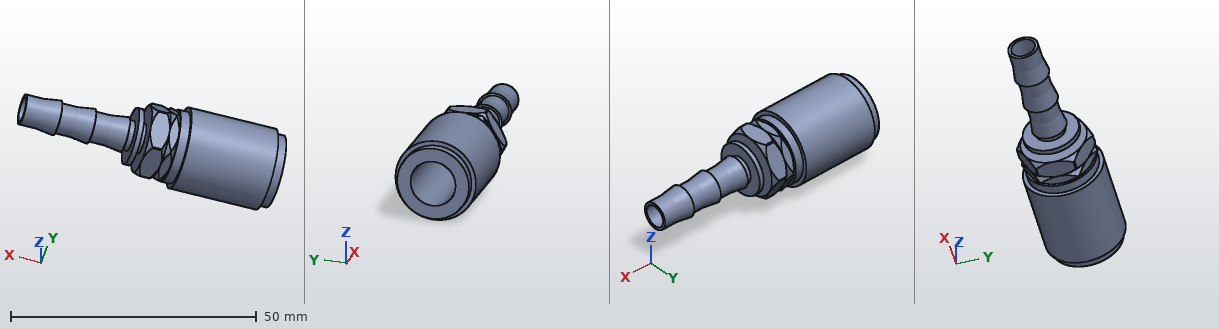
import cadquery as cq
import math

total_length = 54.0

collar_length = 2.0
collar_diameter = 15.1
sleeve_length = 18.5
sleeve_diameter = 17.0

across_flats = 14.0
lock_hex_length = 2.0
hex_chamfer = lock_hex_length / 2
main_hex_length = 4.0

tail_diameter = 6.3
flange_offset = 1.3
flange_thickness = 1.1
flange_diameter = 11.9
barb_count = 3
barb_diameter = 7.35
barb_length = 3.6
barb_pitch = 7.25
last_barb_to_end = 7.4

socket_bore_diameter = 9.5
through_bore_diameter = 5.0

sleeve_start = collar_length
sleeve_end = sleeve_start + sleeve_length
lock_hex_start = sleeve_end + collar_length
main_hex_start = lock_hex_start + lock_hex_length
tail_start = main_hex_start + main_hex_length
flange_start = tail_start + flange_offset
first_barb_start = total_length - last_barb_to_end - (barb_count - 1) * barb_pitch
socket_bore_depth = sleeve_end


def cylinder(start, length, diameter):
    """Cylinder along X."""
    return cq.Workplane("YZ", origin=(start, 0, 0)).circle(diameter / 2).extrude(length)


def chamfered_hex(start, length):
    """Hexagon along X, flats facing +Z and -Z, corners cut by a 45 degree cone at both ends."""
    across_corners = across_flats / math.cos(math.pi / 6)
    prism = cq.Workplane("YZ", origin=(start, 0, 0)).polygon(6, across_corners).extrude(length)
    end_radius = across_flats / 2
    crest_radius = end_radius + hex_chamfer
    end = start + length
    profile = cq.Workplane("XY").moveTo(start, 0).lineTo(start, end_radius)
    profile = profile.lineTo(start + hex_chamfer, crest_radius)
    if length > 2 * hex_chamfer:
        profile = profile.lineTo(end - hex_chamfer, crest_radius)
    profile = profile.lineTo(end, end_radius).lineTo(end, 0).close()
    envelope = profile.revolve(360, (0, 0, 0), (1, 0, 0))
    return prism.intersect(envelope)


def barb(start):
    """Cone that is widest at its start and tapers down to the tail diameter."""
    profile = (
        cq.Workplane("XY")
        .moveTo(start, 0)
        .lineTo(start, barb_diameter / 2)
        .lineTo(start + barb_length, tail_diameter / 2)
        .lineTo(start + barb_length, 0)
        .close()
    )
    return profile.revolve(360, (0, 0, 0), (1, 0, 0))


body = cylinder(0, lock_hex_start, collar_diameter)
body = body.union(cylinder(sleeve_start, sleeve_length, sleeve_diameter))

body = body.union(chamfered_hex(lock_hex_start, lock_hex_length))
body = body.union(chamfered_hex(main_hex_start, main_hex_length))

body = body.union(cylinder(tail_start, total_length - tail_start, tail_diameter))
body = body.union(cylinder(flange_start, flange_thickness, flange_diameter))
for index in range(barb_count):
    body = body.union(barb(first_barb_start + index * barb_pitch))

body = body.cut(cylinder(0, socket_bore_depth, socket_bore_diameter))
body = body.cut(cylinder(0, total_length, through_bore_diameter))

result = body